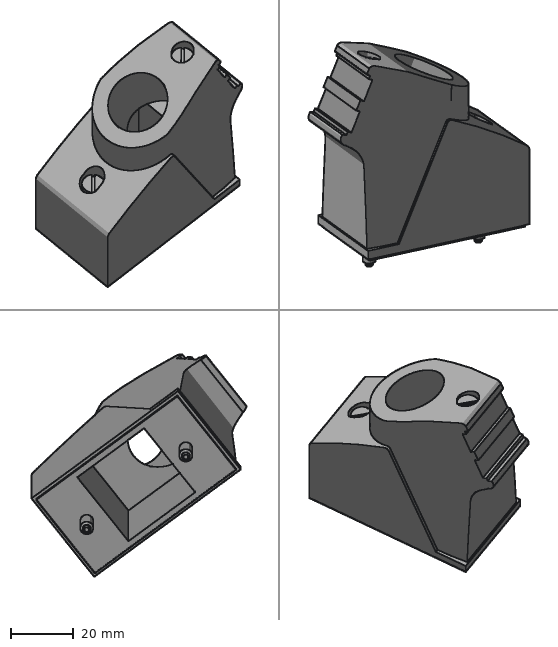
import cadquery as cq
import math

body_width = 33.0
body_length = 59.0
flange_height = 3.0
front_corner_height = 26.95
front_corner_radius = 2.25
roof_bulge = 0.8
shoulder_radius = 1.35

tilt = 24.7
shoulder_foot_y = 47.7
shoulder_height = 43.7

boss_radius = 15.75
boss_front_y = 15.4
tower_rear_y = 58.5
tower_top_w = 54.6
tower_top_front_d = -14.9
top_bend_d = 19.35
flank_points = [(-0.9, 15.45), (9.55, 14.85), (19.35, 13.2), (32.85, 10.5)]
lip_top_z = 64.2

face_d = 29.7
step_d = 31.0
lip_d = 32.25

upper_lip_w = (51.8, 49.7)
upper_step_w = (49.6, 48.55)
rib_w = (41.1, 37.5)
lower_step_w = (30.0, 28.9)
lower_lip_top_w = 28.6
lower_groove_w = 30.2

upper_lip_start_y = 53.55
upper_lip_crown = (54.8, 64.0)
lower_lip_crown = (65.8, 41.2)
lower_lip_end = (64.1, 38.7)
neck_start = (61.6, 37.05)
neck_middle = (59.4, 34.35)
neck_end_z = 30.6

bore_diameter = 20.0
bore_d = 5.1
cavity_ceiling_z = 32.85
cavity_width = 26.9
cavity_length = 26.9

plate_thickness = 1.05
plate_inset = 1.05
screw_pitch = 39.9
front_screw_y = 9.6
rear_screw_y = front_screw_y + screw_pitch
head_diameter = 7.25
front_head_z = 30.2
rear_head_z = 60.65
slot_width = 1.0
slot_depth = 0.75
slot_angle = -45.0
access_y = 9.1
access_depth = 2.25
pin_radius = 2.1
pin_shoulder_z = -8.7
pin_tip_z = -10.45
tip_neck_radius = 1.3
tip_end_radius = 0.75

half_width = body_width / 2
tilt_cos = math.cos(math.radians(tilt))
tilt_sin = math.sin(math.radians(tilt))
far_length = 89.6


def tilted(d, w):
    """(Y, Z) of a point given in the tilted frame."""
    y = shoulder_foot_y + d * tilt_cos - w * tilt_sin
    z = flange_height + d * tilt_sin + w * tilt_cos
    return (y, z)


def tilted_plane(y, z):
    """Plane square to the shoulder line; its local x runs along d."""
    return cq.Plane(origin=(0, y, z), xDir=(0, tilt_cos, tilt_sin), normal=(0, -tilt_sin, tilt_cos))


def make_body():
    shoulder = tilted(0, shoulder_height)
    chord_y = shoulder[0]
    chord_z = shoulder[1] - front_corner_height
    chord = math.hypot(chord_y, chord_z)
    roof_middle = (
        chord_y / 2 - roof_bulge * chord_z / chord,
        front_corner_height + chord_z / 2 + roof_bulge * chord_y / chord,
    )
    block = (
        cq.Workplane("YZ")
        .moveTo(0, 0)
        .lineTo(0, front_corner_height)
        .threePointArc(roof_middle, shoulder)
        .lineTo(shoulder_foot_y, flange_height)
        .lineTo(body_length, flange_height)
        .lineTo(body_length, 0)
        .close()
        .extrude(half_width, both=True)
    )
    front_corner = cq.NearestToPointSelector((0, 0, front_corner_height))
    shoulder_edge = cq.NearestToPointSelector((0, *shoulder))
    block = block.edges(front_corner).fillet(front_corner_radius)
    return block.edges(shoulder_edge).fillet(shoulder_radius)


def make_tower_profile():
    """Side outline of the tower, with the stepped rear face."""
    top_front = tilted(tower_top_front_d, tower_top_w)
    return (
        cq.Workplane("YZ")
        .moveTo(top_front[0], 0)
        .lineTo(*top_front)
        .lineTo(*tilted(top_bend_d, tower_top_w))
        .lineTo(upper_lip_start_y, lip_top_z)
        .threePointArc(upper_lip_crown, tilted(lip_d, upper_lip_w[0]))
        .lineTo(*tilted(lip_d, upper_lip_w[1]))
        .lineTo(*tilted(step_d, upper_step_w[0]))
        .lineTo(*tilted(step_d, upper_step_w[1]))
        .lineTo(*tilted(face_d, upper_step_w[1]))
        .lineTo(*tilted(face_d, rib_w[0]))
        .lineTo(*tilted(step_d, rib_w[0]))
        .lineTo(*tilted(step_d, rib_w[1]))
        .lineTo(*tilted(face_d, rib_w[1]))
        .lineTo(*tilted(face_d, lower_groove_w))
        .lineTo(*tilted(step_d, lower_step_w[0]))
        .lineTo(*tilted(step_d, lower_step_w[1]))
        .lineTo(*tilted(lip_d, lower_lip_top_w))
        .threePointArc(lower_lip_crown, lower_lip_end)
        .lineTo(*neck_start)
        .threePointArc(neck_middle, (tower_rear_y, neck_end_z))
        .lineTo(tower_rear_y, 0)
        .close()
        .extrude(half_width, both=True)
    )


def make_flanks():
    """Prism along the shoulder line: nearly as wide as the boss in front, tapering rearward."""
    half = (
        cq.Workplane(tilted_plane(shoulder_foot_y, flange_height))
        .workplane(offset=-far_length / 2)
        .moveTo(-far_length, 0)
        .lineTo(-far_length, flank_points[0][1])
        .lineTo(*flank_points[0])
        .spline(flank_points[1:], includeCurrent=True)
        .lineTo(flank_points[-1][0], 0)
        .close()
        .extrude(2 * far_length)
    )
    return half.union(half.mirror("YZ"))


def make_boss_plan():
    """Upright prism with a half-round front."""
    boss_center_y = boss_front_y + boss_radius
    return (
        cq.Workplane("XY")
        .moveTo(-boss_radius, far_length)
        .lineTo(-boss_radius, boss_center_y)
        .threePointArc((0, boss_front_y), (boss_radius, boss_center_y))
        .lineTo(boss_radius, far_length)
        .close()
        .extrude(far_length)
    )


def make_base_plate():
    return cq.Workplane("XY").box(
        body_width - 2 * plate_inset,
        body_length - 2 * plate_inset,
        plate_thickness,
        centered=(True, True, False),
    ).translate((0, body_length / 2, -plate_thickness))


def make_cavity():
    """Rectangular opening from the underside, midway between the screws."""
    return cq.Workplane("XY").box(
        cavity_width,
        cavity_length,
        cavity_ceiling_z + plate_thickness,
        centered=(True, True, False),
    ).translate((0, (front_screw_y + rear_screw_y) / 2, -plate_thickness))


def make_bore():
    """Round bore square to the top face, ending in the cavity."""
    bore = (
        cq.Workplane(tilted_plane(*tilted(bore_d, tower_top_w)))
        .circle(bore_diameter / 2)
        .extrude(far_length, both=True)
    )
    above_ceiling = (
        cq.Workplane("XY", origin=(0, 0, cavity_ceiling_z))
        .rect(2 * far_length, 2 * far_length)
        .extrude(far_length)
    )
    return bore.intersect(above_ceiling)


def make_head_cylinder(y, head_z, height):
    """Upright cylinder of head diameter, from the top of a screw head up (or down if negative)."""
    return cq.Workplane("XY", origin=(0, y, head_z)).circle(head_diameter / 2).extrude(height)


def make_slot(y, head_z):
    """Driver slot across a screw head, turned from the X axis."""
    head = make_head_cylinder(y, head_z, -slot_depth)
    bar = (
        cq.Workplane("XY", origin=(0, y, head_z))
        .transformed(rotate=(0, 0, slot_angle))
        .rect(head_diameter, slot_width)
        .extrude(-slot_depth)
    )
    return bar.intersect(head)


def make_access_recess():
    """Tilted hole around the front screw head, which stands up inside it."""
    tilted_hole = (
        cq.Workplane(tilted_plane(access_y, front_head_z))
        .workplane(offset=-access_depth)
        .circle(head_diameter / 2)
        .extrude(far_length)
    )
    return tilted_hole.cut(make_head_cylinder(front_screw_y, front_head_z, -far_length))


def make_pin(y):
    """Screw end below the plate, with a necked conical tip."""
    tip_step = (pin_shoulder_z - pin_tip_z) / 3
    pin = (
        cq.Workplane("XZ")
        .moveTo(0, 0)
        .lineTo(pin_radius, 0)
        .lineTo(pin_radius, pin_shoulder_z)
        .lineTo(tip_neck_radius, pin_shoulder_z - tip_step)
        .lineTo(tip_neck_radius, pin_shoulder_z - 2 * tip_step)
        .lineTo(tip_end_radius, pin_tip_z)
        .lineTo(0, pin_tip_z)
        .close()
        .revolve(360, (0, 0, 0), (0, 1, 0))
    )
    return pin.translate((0, y, 0))


tower = make_tower_profile().intersect(make_flanks()).intersect(make_boss_plan())
result = make_body().union(tower).union(make_base_plate())
result = result.cut(make_cavity()).cut(make_bore())
result = result.cut(make_access_recess())

for screw_y, screw_head_z in ((front_screw_y, front_head_z), (rear_screw_y, rear_head_z)):
    result = result.cut(make_head_cylinder(screw_y, screw_head_z, far_length))
    result = result.cut(make_slot(screw_y, screw_head_z))
    result = result.union(make_pin(screw_y))